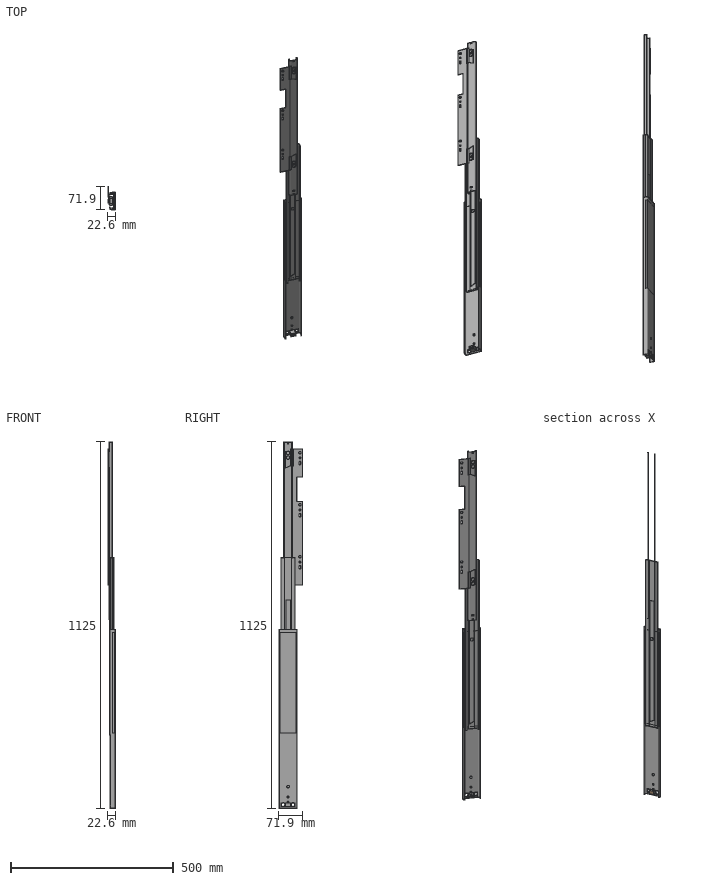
import cadquery as cq
import math


total_depth = 22.6
total_length = 1125.0
bracket_overall_y = 71.89
sheet = 1.5
hole_pitch = 32.0

cabinet_half_width = 27.5
cabinet_length = 550.0
cabinet_front_x = 6.5
cabinet_bend = 3.0
cabinet_flange_bow = 30.0
cabinet_bow_depth = 9.5
cabinet_web_x = total_depth - sheet
cabinet_hole_z = 67.0
cabinet_hole_diameter = 7.0
cabinet_lower_hole_diameter = 5.0
corner_hole_diameter = 11.0
corner_hole_y = 15.2
corner_hole_z = 11.5

member_length = 545.0
middle_half_width = 22.0
middle_top_z = 770.5
middle_bottom_z = middle_top_z - member_length
middle_front_x = 4.6
middle_back_x = 17.8
middle_bend = 3.6
middle_curl = 1.6
middle_opening = 18.0
race_x = 10.8
race_width = 4.5
race_depth = 0.6
ridge_half_width = 10.2
ridge_height = 1.0
ridge_x = middle_back_x - sheet - ridge_height

drawer_half_width = 13.9
drawer_bottom_z = total_length - member_length
drawer_front_x = 2 * sheet
drawer_back_x = 13.0
drawer_bend = 5.1
drawer_curl = 2.5
drawer_opening = 11.0
drawer_slot_z = 596.0
drawer_slot_width = 7.0
drawer_slot_height = 4.0
end_notch_width = 4.0
end_notch_depth = 5.0

bracket_outer_y = bracket_overall_y - cabinet_half_width
bracket_inner_y = 12.5
bracket_top_z = 1105.0
bracket_bottom_z = 686.0
notch_y = 27.0
notch_top_z = 1017.5
notch_bottom_z = 943.0
ear_inner_y = 7.5
ear_outer_y = 16.0
ear_length = 52.5
bracket_hole_y = 36.5
bracket_hole_top_z = 1093.0
hole_group_pitch = 5 * hole_pitch
hole_group_count = 3
large_hole_diameter = 6.5
small_hole_diameter = 4.5
bracket_slot_length = 10.0

lug_diameter = 11.0
lug_spacing = 14.0
lug_end_distance = 20.0

pad_height = 0.5
pad_half_width = 7.2
pad_end_distance = 9.0
pad_slant = 6.0

strip_half_width = 7.0
strip_thickness = 1.0
strip_top_z = 640.0
strip_bottom_z = 242.0
strip_end_slant = 7.0
strip_boss_z = 515.0
strip_boss_diameter = 10.0

retainer_bottom_z = 232.0
retainer_top_z = 540.0
retainer_thickness = 1.0
retainer_half_width = 25.0
retainer_front_x = 14.0
retainer_back_x = 20.0

stop_base_half_width = 21.0
stop_base_thickness = 1.0
stop_half_width = 8.0
stop_bottom_z = 5.5
stop_height = 12.0
stop_depth = 16.0
stop_groove_width = 3.0
stop_groove_depth = 2.0


def box(x0, x1, y0, y1, z0, z1):
    """Block between the given limits."""
    return cq.Workplane("XY").box(x1 - x0, y1 - y0, z1 - z0, centered=False).translate((x0, y0, z0))


def cylinder_x(diameter, x0, x1, y, z):
    """Round bar along X."""
    bar = cq.Workplane("YZ").circle(diameter / 2).extrude(x1 - x0)
    return bar.translate((x0, y, z))


def channel(x0, x1, half_width, web_radius, lip_radius, opening, z0, z1, web_at_back):
    """C channel along Z: a web, two bent flanges and lips curling in to the opening."""
    web_edges, lip_edges = (">X", "<X") if web_at_back else ("<X", ">X")

    def rounded_block(inset):
        block = box(x0 + inset, x1 - inset, inset - half_width, half_width - inset, z0, z1)
        block = block.faces(web_edges).edges("|Z").fillet(web_radius - inset)
        return block.faces(lip_edges).edges("|Z").fillet(lip_radius - inset)

    middle_x = (x0 + x1) / 2
    mouth = (x0, middle_x) if web_at_back else (middle_x, x1)
    shell = rounded_block(0).cut(rounded_block(sheet))
    return shell.cut(box(*mouth, -opening, opening, z0, z1))


def bowed_block(inset):
    """Block inside the cabinet member whose sides bow inward towards the open front."""
    back_x = total_depth - inset
    half = cabinet_half_width - inset
    radius = cabinet_flange_bow - inset
    bow_start_x = cabinet_front_x + cabinet_bow_depth
    front_half = half - radius + math.sqrt(radius**2 - cabinet_bow_depth**2)
    block = (
        cq.Workplane("XY")
        .moveTo(cabinet_front_x, -front_half)
        .radiusArc((bow_start_x, -half), -radius)
        .lineTo(back_x, -half)
        .lineTo(back_x, half)
        .lineTo(bow_start_x, half)
        .radiusArc((cabinet_front_x, front_half), -radius)
        .close()
        .extrude(cabinet_length)
    )
    return block.faces(">X").edges("|Z").fillet(cabinet_bend - inset)


def cut_corner_holes(body, x0):
    """Cut the pair of through holes near the lower end, from x0 to the back of the cabinet."""
    for y in (-corner_hole_y, corner_hole_y):
        body = body.cut(cylinder_x(corner_hole_diameter, x0, total_depth, y, corner_hole_z))
    return body


def make_cabinet_member():
    member = bowed_block(0).cut(bowed_block(sheet))
    lower_z = cabinet_hole_z - hole_pitch
    for diameter, z in (
        (cabinet_hole_diameter, cabinet_hole_z),
        (cabinet_lower_hole_diameter, lower_z),
        (cabinet_lower_hole_diameter, lower_z - hole_pitch / 2),
    ):
        member = member.cut(cylinder_x(diameter, cabinet_web_x, total_depth, 0, z))
    return cut_corner_holes(member, cabinet_web_x)


def make_intermediate_member():
    member = channel(
        middle_front_x, middle_back_x, middle_half_width, middle_bend, middle_curl,
        middle_opening, middle_bottom_z, middle_top_z, True,
    )
    ridge = box(
        ridge_x, middle_back_x - sheet, -ridge_half_width, ridge_half_width, middle_bottom_z, middle_top_z
    )
    member = member.union(ridge)
    race_radius = ((race_width / 2) ** 2 + race_depth**2) / (2 * race_depth)
    race_centre_y = middle_half_width - race_depth + race_radius
    for y in (-race_centre_y, race_centre_y):
        race = cq.Workplane("XY").circle(race_radius).extrude(member_length)
        member = member.cut(race.translate((race_x, y, middle_bottom_z)))
    return member


def make_web_pad(outer_z, inner_z, slant):
    """Raised pad on the drawer web; its inner end slants by the given rise across the width."""
    return (
        cq.Workplane("YZ")
        .moveTo(pad_half_width, outer_z)
        .lineTo(pad_half_width, inner_z)
        .lineTo(-pad_half_width, inner_z + slant)
        .lineTo(-pad_half_width, outer_z)
        .close()
        .extrude(pad_height)
        .translate((drawer_front_x - pad_height, 0, 0))
    )


def make_drawer_member():
    member = channel(
        drawer_front_x, drawer_back_x, drawer_half_width, drawer_bend, drawer_curl,
        drawer_opening, drawer_bottom_z, total_length, False,
    )
    web_back_x = drawer_front_x + sheet
    slot = (
        cq.Workplane("YZ").slot2D(drawer_slot_width, drawer_slot_height).extrude(sheet)
        .translate((drawer_front_x, 0, drawer_slot_z))
    )
    member = member.cut(slot)
    for z in (drawer_bottom_z, total_length - end_notch_depth):
        half = end_notch_width / 2
        member = member.cut(
            box(drawer_front_x, drawer_front_x + sheet / 2, -half, half, z, z + end_notch_depth)
        )
    member = member.union(
        make_web_pad(bracket_top_z - pad_end_distance, bracket_top_z - ear_length, -pad_slant)
    )
    member = member.union(
        make_web_pad(bracket_bottom_z + pad_end_distance, bracket_bottom_z + ear_length, pad_slant)
    )
    for end_z in (bracket_top_z - lug_end_distance, bracket_bottom_z + lug_end_distance):
        for offset in (-lug_spacing / 2, lug_spacing / 2):
            member = member.union(cylinder_x(lug_diameter, 0, web_back_x, 0, end_z + offset))
    return member


def make_bracket():
    plate = box(0, sheet, bracket_inner_y, bracket_outer_y, bracket_bottom_z, bracket_top_z)
    plate = plate.cut(box(0, sheet, notch_y, bracket_outer_y, notch_bottom_z, notch_top_z))
    for z in (bracket_bottom_z, bracket_top_z - ear_length):
        plate = plate.union(box(sheet, drawer_front_x, ear_inner_y, ear_outer_y, z, z + ear_length))
    for group in range(hole_group_count):
        z = bracket_hole_top_z - group * hole_group_pitch
        plate = plate.cut(cylinder_x(large_hole_diameter, 0, sheet, bracket_hole_y, z))
        plate = plate.cut(cylinder_x(small_hole_diameter, 0, sheet, bracket_hole_y, z - hole_pitch / 2))
        slot = (
            cq.Workplane("YZ").slot2D(bracket_slot_length, small_hole_diameter, 90).extrude(sheet)
            .translate((0, bracket_hole_y, z - hole_pitch))
        )
        plate = plate.cut(slot)
    return plate


def make_inner_retainer():
    strip = (
        cq.Workplane("YZ")
        .moveTo(strip_half_width, strip_bottom_z)
        .lineTo(strip_half_width, strip_top_z)
        .lineTo(-strip_half_width, strip_top_z)
        .lineTo(-strip_half_width, strip_bottom_z + strip_end_slant)
        .close()
        .extrude(-strip_thickness)
        .translate((ridge_x, 0, 0))
    )
    boss_x = ridge_x - 2 * strip_thickness
    return strip.union(cylinder_x(strip_boss_diameter, boss_x, ridge_x, 0, strip_boss_z))


def make_outer_retainer():
    inner_half = retainer_half_width - retainer_thickness
    outer = box(
        retainer_front_x, retainer_back_x, -retainer_half_width, retainer_half_width,
        retainer_bottom_z, retainer_top_z,
    )
    inner = box(
        retainer_front_x, retainer_back_x - retainer_thickness, -inner_half, inner_half,
        retainer_bottom_z, retainer_top_z,
    )
    return outer.cut(inner)


def make_end_stop():
    front_x = cabinet_web_x - stop_depth
    top_z = stop_bottom_z + stop_height
    stop = box(front_x, cabinet_web_x, -stop_half_width, stop_half_width, stop_bottom_z, top_z)
    groove_z = stop_bottom_z + (stop_height - stop_groove_width) / 2
    groove = box(
        front_x, front_x + stop_groove_depth, -stop_half_width, stop_half_width,
        groove_z, groove_z + stop_groove_width,
    )
    stop = stop.cut(groove)
    base_x = cabinet_web_x - stop_base_thickness
    base = box(base_x, cabinet_web_x, -stop_base_half_width, stop_base_half_width, stop_bottom_z, top_z)
    return stop.union(cut_corner_holes(base, base_x))


cabinet_member = make_cabinet_member()
intermediate_member = make_intermediate_member()
drawer_member = make_drawer_member()
bracket = make_bracket()
inner_retainer = make_inner_retainer()
outer_retainer = make_outer_retainer()
end_stop = make_end_stop()

result = cq.Compound.makeCompound([
    cabinet_member.val(),
    intermediate_member.val(),
    drawer_member.val(),
    bracket.val(),
    inner_retainer.val(),
    outer_retainer.val(),
    end_stop.val(),
])